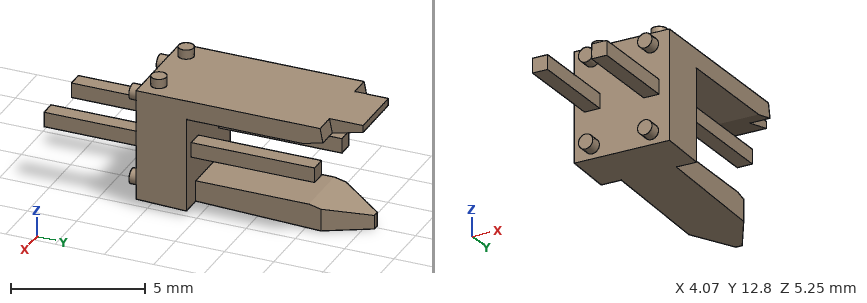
import cadquery as cq

body_width = 4.07
block_depth = 2.04
tip_y = 8.84
rear_bottom_z = -4.57
tip_bottom_z = -4.87

upper_arm_thickness = 0.78
upper_tip_thickness = 0.3
upper_ramp_y = 6.74
tongue_width = 2.35
shoulder_top_y = 7.47
shoulder_slant = 0.15

lower_arm_width = tongue_width
lower_arm_top_z = -3.78
lower_ramp_y = 6.65
lower_tip_top_z = -4.29
lower_taper_y = 7.13
lower_tip_width = 0.28

total_length = 12.77
pin_width = 0.65
pin_height = 0.61
pin_front_y = 7.05
pin_rear_y = tip_y - total_length
pin_center_z = -2.27

column_spacing = 2.53
stud_diameter = 0.61
rear_stud_length = 0.5
rear_stud_heights = (-0.5, -4.06)
top_stud_length = 0.38
top_stud_y = 0.59

column_positions = (-column_spacing / 2, column_spacing / 2)


def underside_z(y):
    """Height of the sloping underside shared by the block and the lower arm."""
    return rear_bottom_z + (tip_bottom_z - rear_bottom_z) * y / tip_y


def side_profile(points, width):
    """Extrude a (Y, Z) outline symmetrically about X = 0."""
    return cq.Workplane("YZ").polyline(points).close().extrude(width / 2, both=True)


def make_block():
    return side_profile(
        [(0, 0), (block_depth, 0), (block_depth, underside_z(block_depth)), (0, rear_bottom_z)],
        body_width,
    )


def make_upper_arm():
    arm_profile = [
        (0, 0),
        (tip_y, 0),
        (tip_y, -upper_tip_thickness),
        (upper_ramp_y, -upper_arm_thickness),
        (0, -upper_arm_thickness),
    ]
    tongue = side_profile(arm_profile, tongue_width)
    shoulder_limit = side_profile(
        [
            (0, 0),
            (shoulder_top_y, 0),
            (shoulder_top_y + shoulder_slant, -upper_arm_thickness),
            (0, -upper_arm_thickness),
        ],
        body_width,
    )
    return side_profile(arm_profile, body_width).intersect(shoulder_limit).union(tongue)


def make_lower_arm():
    arm = side_profile(
        [
            (0, lower_arm_top_z),
            (lower_ramp_y, lower_arm_top_z),
            (tip_y, lower_tip_top_z),
            (tip_y, tip_bottom_z),
            (0, rear_bottom_z),
        ],
        lower_arm_width,
    )
    plan = (
        cq.Workplane("XY", origin=(0, 0, tip_bottom_z))
        .polyline([
            (-lower_arm_width / 2, 0),
            (lower_arm_width / 2, 0),
            (lower_arm_width / 2, lower_taper_y),
            (lower_tip_width / 2, tip_y),
            (-lower_tip_width / 2, tip_y),
            (-lower_arm_width / 2, lower_taper_y),
        ])
        .close()
        .extrude(-tip_bottom_z)
    )
    return arm.intersect(plan)


def make_pin(x):
    length = pin_front_y - pin_rear_y
    center_y = (pin_front_y + pin_rear_y) / 2
    return cq.Workplane("XY").box(pin_width, length, pin_height).translate((x, center_y, pin_center_z))


def make_rear_stud(x, z):
    return cq.Workplane("XZ", origin=(x, 0, z)).circle(stud_diameter / 2).extrude(rear_stud_length)


def make_top_stud(x):
    return cq.Workplane("XY", origin=(x, top_stud_y, 0)).circle(stud_diameter / 2).extrude(top_stud_length)


result = make_block().union(make_upper_arm()).union(make_lower_arm())
for column_x in column_positions:
    result = result.union(make_pin(column_x)).union(make_top_stud(column_x))
    for stud_z in rear_stud_heights:
        result = result.union(make_rear_stud(column_x, stud_z))